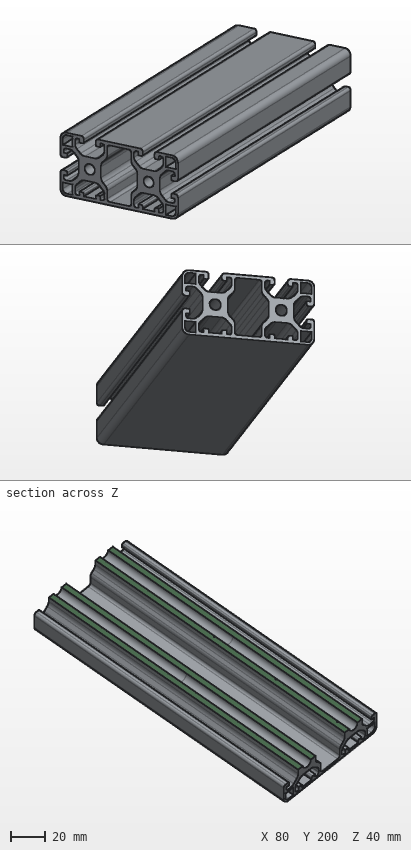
import cadquery as cq
import math

length = 200.0
module = 40.0
half = module / 2
width = 2 * module
core_offset = half
bore_diameter = 6.8
outer_radius = 4.0

core_half = 7.5
chamber_half = 10.0
lip_inner = 17.8
hook_tip = 15.5
hook_outer = 7.0
mouth_half = 4.0
diagonal_shift = 2.5
wall = 1.8
web_face = chamber_half + wall
corner_cell_outer = 18.5

core_radius = 4.5
web_radius = 3.5
chamber_radius = 1.8
root_radius = 0.5
hook_radius = 1.0
mouth_radius = 1.8
cell_radius = 2.8


def rounded_polygon(corners):
    """Closed XZ outline through (x, z, radius) corners, each rounded by its radius."""
    points = [cq.Vector(x, z) for x, z, _ in corners]
    radii = [radius for _, _, radius in corners]
    closing_middle = (points[-1] + points[0]) * 0.5
    outline = cq.Workplane("XZ").moveTo(closing_middle.x, closing_middle.y)
    for i, (corner, radius) in enumerate(zip(points, radii)):
        if radius == 0:
            outline = outline.lineTo(corner.x, corner.y)
            continue
        following = points[(i + 1) % len(points)]
        to_previous = (points[i - 1] - corner).normalized()
        to_next = (following - corner).normalized()
        half_angle = to_previous.getAngle(to_next) / 2
        setback = radius / math.tan(half_angle)
        start = corner + to_previous * setback
        end = corner + to_next * setback
        bisector = (to_previous + to_next).normalized()
        middle = corner + bisector * (radius / math.sin(half_angle) - radius)
        outline = outline.lineTo(start.x, start.y)
        outline = outline.threePointArc((middle.x, middle.y), (end.x, end.y))
    return outline.close()


def extrude_along_y(outline):
    return outline.extrude(length / 2, both=True)


def mirrored(right_side):
    """Complete a path that is symmetric about its first coordinate."""
    return right_side + [(-across, depth, radius) for across, depth, radius in reversed(right_side)]


def chamber_side():
    """One side of a slot, from the mouth edge of the hook to the slot bottom."""
    return [
        (mouth_half, hook_tip, hook_radius),
        (hook_outer, hook_tip, 0),
        (hook_outer, lip_inner, root_radius),
        (chamber_half, lip_inner, chamber_radius),
        (chamber_half, chamber_half + diagonal_shift, web_radius),
        (core_half - diagonal_shift, core_half, core_radius),
    ]


def open_slot():
    return mirrored([(mouth_half, half, mouth_radius)] + chamber_side())


def closed_slot():
    """Slot whose mouth is covered by a skin as thick as the lips."""
    return mirrored([(mouth_half, lip_inner, 0)] + chamber_side())


def facing_up(path, core_x):
    return [(core_x + across, depth, radius) for across, depth, radius in path]


def facing_down(path, core_x):
    return [(core_x - across, -depth, radius) for across, depth, radius in path]


def facing_right(path, core_x):
    return [(core_x + depth, -across, radius) for across, depth, radius in path]


def facing_left(path, core_x):
    return [(core_x - depth, across, radius) for across, depth, radius in path]


def body():
    """Outer outline, counter-clockwise, with the four open slots."""
    outline = [(-width / 2, -half, outer_radius), (width / 2, -half, outer_radius)]
    outline += facing_right(open_slot(), core_offset)
    outline += [(width / 2, half, outer_radius)]
    outline += facing_up(open_slot(), core_offset)
    outline += facing_up(open_slot(), -core_offset)
    outline += [(-width / 2, half, outer_radius)]
    outline += facing_left(open_slot(), -core_offset)
    return extrude_along_y(rounded_polygon(outline))


def central_cell():
    """Large cell between the two cores, following their inner flanks."""
    web_x = core_offset - web_face
    core_x = core_offset - core_half
    upper_right = [
        (core_x, core_half - diagonal_shift, core_radius),
        (web_x, web_face - diagonal_shift, web_radius),
        (web_x, lip_inner, chamber_radius),
    ]
    upper = mirrored(upper_right)
    lower = [(-x, -z, radius) for x, z, radius in upper]
    return extrude_along_y(rounded_polygon(upper + lower))


def corner_cell(side_x, side_z):
    """Square cell in one outer corner, rounded at its outermost edge."""
    inner_x = side_x * (core_offset + web_face)
    outer_x = side_x * (core_offset + corner_cell_outer)
    inner_z = side_z * web_face
    outer_z = side_z * corner_cell_outer
    corners = [
        (inner_x, inner_z, 0),
        (outer_x, inner_z, 0),
        (outer_x, outer_z, cell_radius),
        (inner_x, outer_z, 0),
    ]
    return extrude_along_y(rounded_polygon(corners))


def bore(core_x):
    return extrude_along_y(cq.Workplane("XZ").center(core_x, 0).circle(bore_diameter / 2))


result = body().cut(central_cell())
for side in (-1, 1):
    core_axis = side * core_offset
    result = result.cut(bore(core_axis))
    result = result.cut(extrude_along_y(rounded_polygon(facing_down(closed_slot(), core_axis))))
    for vertical in (-1, 1):
        result = result.cut(corner_cell(side, vertical))